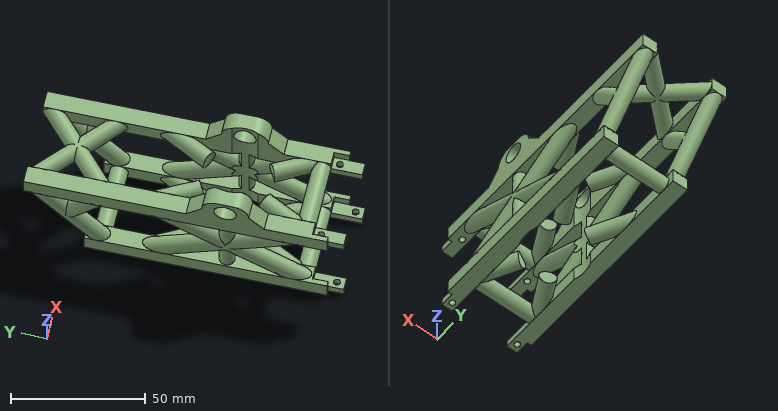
import cadquery as cq
import math

frame_width = 40.0
frame_length = 122.2
frame_height = 40.0
rail_size = 7.0
rail_front = 6.0
lower_rail_end = 99.0
tube_diameter = 7.0

tongue_length = 12.0
tongue_width = 5.0
tongue_height = rail_size / 2
tongue_hole_diameter = 2.5
upper_hole_y = 9.2
lower_hole_y = 3.2

lug_y = 45.0
lug_top = 52.0
lug_width = 18.0
lug_corner_radius = 6.0
lug_base_width = 30.0
lug_hole_diameter = 8.5

post_diameter = 6.0
middle_brace_reach = 24.8
clearance_diameter = 27.9
rear_crossbar_y = 93.0

outer_x = frame_width / 2
inner_x = outer_x - rail_size
rail_x = outer_x - rail_size / 2
tongue_x = inner_x + tongue_width / 2
upper_rail_z = frame_height - rail_size
gap_height = upper_rail_z - rail_size
gap_width = 2 * inner_x
lower_axis_z = rail_size / 2
upper_axis_z = upper_rail_z + rail_size / 2
mid_z = frame_height / 2
lug_hole_z = lug_top - lug_corner_radius
front_crossbar_y = tongue_length + tube_diameter / 2

rear_overhang = frame_length - lower_rail_end
rear_brace_reach = rear_overhang / 2
rear_brace_angle = math.atan2(gap_height, rear_overhang)
rear_brace_half_depth = tube_diameter / 2 / math.sin(rear_brace_angle)
rear_crossing_y = (frame_length + lower_rail_end) / 2 - rear_brace_half_depth


def box(x, y_start, y_end, z_start, width, height):
    """Block centred on x, with its other faces given by the start and end places."""
    block = cq.Workplane("XY").box(width, y_end - y_start, height, centered=(True, False, False))
    return block.translate((x, y_start, z_start))


def rod(start, end, diameter):
    """Round bar between two points."""
    origin = cq.Vector(*start)
    direction = cq.Vector(*end) - origin
    return cq.Workplane(cq.Solid.makeCylinder(diameter / 2, direction.Length, origin, direction))


def rail(x, z, y_end, hole_y):
    """Square rail whose front is stepped down to a drilled tongue on its inner side."""
    inner_side_x = math.copysign(tongue_x, x)
    bar = box(x, rail_front, y_end, z, rail_size, rail_size)
    step = box(inner_side_x, rail_front, tongue_length, z, tongue_width, rail_size)
    tongue = box(inner_side_x, 0, tongue_length, z, tongue_width, tongue_height)
    hole = rod(
        (inner_side_x, hole_y, z),
        (inner_side_x, hole_y, z + tongue_height),
        tongue_hole_diameter,
    )
    return bar.cut(step).union(tongue).cut(hole)


def lug(x):
    """Pivot ear with rounded top corners and a flared base, standing on an upper rail."""
    half_base = lug_base_width / 2
    half_width = lug_width / 2
    half_flat = half_width - lug_corner_radius
    arc_mid = half_flat + lug_corner_radius * math.sqrt(0.5)
    arc_mid_z = lug_hole_z + lug_corner_radius * math.sqrt(0.5)
    return (
        cq.Workplane("YZ", origin=(x - rail_size / 2, lug_y, 0))
        .moveTo(-half_base, upper_rail_z)
        .lineTo(half_base, upper_rail_z)
        .lineTo(half_base, frame_height)
        .lineTo(half_width, lug_hole_z)
        .threePointArc((arc_mid, arc_mid_z), (half_flat, lug_top))
        .lineTo(-half_flat, lug_top)
        .threePointArc((-arc_mid, arc_mid_z), (-half_width, lug_hole_z))
        .lineTo(-half_base, frame_height)
        .close()
        .extrude(rail_size)
    )


def lug_bore():
    """Pivot hole through both lugs."""
    return rod((-outer_x, lug_y, lug_hole_z), (outer_x, lug_y, lug_hole_z), lug_hole_diameter)


def side_brace(x, crossing_y, reach):
    """Brace in a side of the frame, trimmed by the rails; it climbs toward +Y if reach is positive."""
    run = 2 * reach
    brace = rod(
        (x, crossing_y - run, mid_z - gap_height),
        (x, crossing_y + run, mid_z + gap_height),
        tube_diameter,
    )
    return brace.intersect(box(x, 0, frame_length, rail_size, rail_size, gap_height))


def flat_brace(z, crossing_y, reach):
    """Brace between the two rails of one level, trimmed by their inner faces."""
    run = 2 * reach
    brace = rod((-gap_width, crossing_y - run, z), (gap_width, crossing_y + run, z), tube_diameter)
    return brace.intersect(box(0, 0, frame_length, z - rail_size / 2, gap_width, rail_size))


def rear_side_braces(x):
    """Full rear brace plus the upper arm that branches forward from its middle."""
    full = side_brace(x, rear_crossing_y, rear_brace_reach)
    upper_half = box(x, 0, frame_length, mid_z, rail_size, gap_height)
    arm = side_brace(x, rear_crossing_y, -rear_brace_reach).intersect(upper_half)
    return full.union(arm)


def crossbar(y, z):
    """Round bar joining the two rails of one level."""
    return rod((-rail_x, y, z), (rail_x, y, z), tube_diameter)


def side_frame(x):
    """One side: both rails, the lug, the post and the side braces."""
    side = rail(x, 0, lower_rail_end, lower_hole_y)
    side = side.union(rail(x, upper_rail_z, frame_length, upper_hole_y))
    side = side.union(lug(x))
    side = side.union(rod((x, lug_y, lower_axis_z), (x, lug_y, upper_axis_z), post_diameter))
    for reach in (middle_brace_reach, -middle_brace_reach):
        side = side.union(side_brace(x, lug_y, reach))
    return side.union(rear_side_braces(x))


frame = side_frame(-rail_x).union(side_frame(rail_x))

for level_z in (lower_axis_z, upper_axis_z):
    frame = frame.union(crossbar(front_crossbar_y, level_z))
    for reach in (middle_brace_reach, -middle_brace_reach):
        frame = frame.union(flat_brace(level_z, lug_y, reach))

frame = frame.union(crossbar(rear_crossbar_y, lower_axis_z))
for reach in (rear_brace_reach, -rear_brace_reach):
    frame = frame.union(flat_brace(upper_axis_z, rear_crossing_y, reach))

clearance = rod((0, lug_y, 0), (0, lug_y, lug_top), clearance_diameter)

result = frame.cut(lug_bore()).cut(clearance)